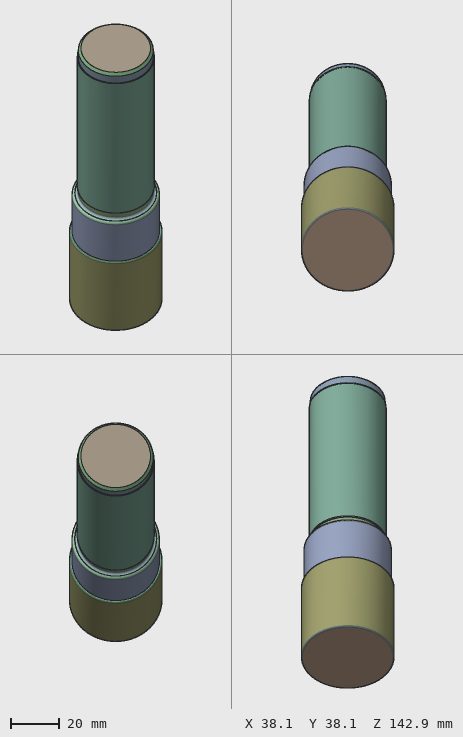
import cadquery as cq

total_height = 142.9
base_top = 38.7
collar_top = 60.6
neck_top = 64.1
shaft_top = 137.9

base_diameter = 38.1
collar_diameter = 36.0
neck_diameter = 31.1
shaft_diameter = 31.7
tip_diameter = 30.9

base_rounding = 0.5
collar_rounding = 1.1
tip_chamfer = 1.1
neck_fillet = 1.1
relief_depth = 0.3
neck_taper_height = 0.5


def make_base():
    """Plain cylindrical base with both rims rounded."""
    return cq.Workplane("XY").circle(base_diameter / 2).extrude(base_top).faces("<Z or >Z").fillet(base_rounding)


def make_pin():
    """Stepped pin standing on the base: collar, relief neck, shaft and lead-in tip.

    The neck's fillet sinks slightly below the collar's top as a grinding relief.
    """
    collar_radius = collar_diameter / 2
    neck_radius = neck_diameter / 2
    shaft_radius = shaft_diameter / 2
    tip_radius = tip_diameter / 2
    relief_floor = collar_top - relief_depth

    half_section = (
        cq.Workplane("XZ")
        .moveTo(0, base_top)
        .lineTo(collar_radius, base_top)
        .lineTo(collar_radius, collar_top - collar_rounding)
        .radiusArc((collar_radius - collar_rounding, collar_top), -collar_rounding)
        .lineTo(neck_radius + neck_fillet, relief_floor)
        .radiusArc((neck_radius, relief_floor + neck_fillet), neck_fillet)
        .lineTo(neck_radius, neck_top - neck_taper_height)
        .lineTo(shaft_radius, neck_top)
        .lineTo(shaft_radius, shaft_top)
        .lineTo(tip_radius, shaft_top)
        .lineTo(tip_radius, total_height - tip_chamfer)
        .lineTo(tip_radius - tip_chamfer, total_height)
        .lineTo(0, total_height)
        .close()
    )
    return half_section.revolve(360, (0, 0, 0), (0, 1, 0))


base = make_base()
pin = make_pin()
result = cq.Compound.makeCompound([base.val(), pin.val()])